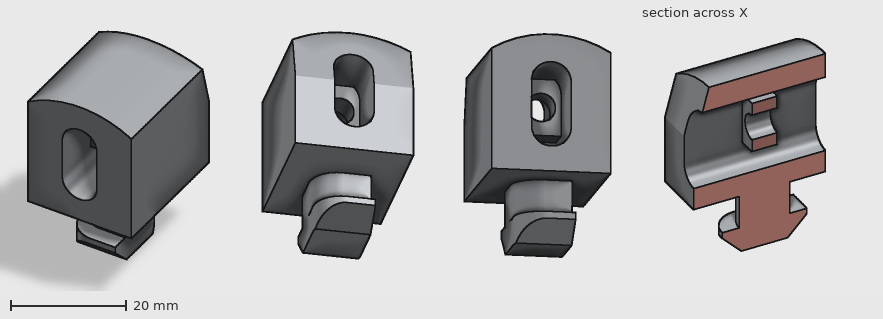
import cadquery as cq
import math

BLOCK_WIDTH = 21.0
BLOCK_DEPTH = 26.0
BLOCK_BOTTOM = 11.35
SHOULDER_Z = 32.85
CROWN_Z = 35.75
SLOPE_START_Z = 24.6
SLOPE_ANGLE = 15

SLOT_WIDTH = 7.0
SLOT_LENGTH = 15
SLOT_CENTRE_Z = 23.3

FOOT_WIDTH = 10
FOOT_CENTRE_Y = 12.0
HEAD_LENGTH = 16.7
HEAD_HEIGHT = 5
HEAD_BEVEL = 3.8
CORNER_RADIUS = FOOT_WIDTH / 2

NUT_SIDE = FOOT_WIDTH
NUT_THICKNESS = 5
NUT_HOLE_DIAMETER = 5
NUT_CENTRE = (0, FOOT_CENTRE_Y, 24.85)


def crowned_block():
    """Block with an arched top and a sloped upper back face."""
    half_width = BLOCK_WIDTH / 2
    block = (
        cq.Workplane("XZ")
        .moveTo(-half_width, BLOCK_BOTTOM)
        .lineTo(half_width, BLOCK_BOTTOM)
        .lineTo(half_width, SHOULDER_Z)
        .threePointArc((0, CROWN_Z), (-half_width, SHOULDER_Z))
        .close()
        .extrude(-BLOCK_DEPTH)
    )
    slope_run = (CROWN_Z - SLOPE_START_Z) * math.tan(math.radians(SLOPE_ANGLE))
    back_wedge = (
        cq.Workplane("YZ")
        .moveTo(BLOCK_DEPTH, SLOPE_START_Z)
        .lineTo(BLOCK_DEPTH, CROWN_Z)
        .lineTo(BLOCK_DEPTH - slope_run, CROWN_Z)
        .close()
        .extrude(half_width, both=True)
    )
    return block.cut(back_wedge)


def screw_slot():
    """Upright round-ended slot running the full depth of the block."""
    return (
        cq.Workplane("XZ")
        .center(0, SLOT_CENTRE_Z)
        .slot2D(SLOT_LENGTH, SLOT_WIDTH, angle=90)
        .extrude(-BLOCK_DEPTH)
    )


def quarter_turn_prism(length, bottom, top):
    """Upright prism with two diagonally opposite vertical edges rounded."""
    half_width = FOOT_WIDTH / 2
    half_length = length / 2
    arc_inset = CORNER_RADIUS * (1 - math.sqrt(0.5))
    outline = (
        cq.Workplane("XY", origin=(0, FOOT_CENTRE_Y, bottom))
        .moveTo(half_width, -half_length)
        .lineTo(half_width, half_length - CORNER_RADIUS)
        .threePointArc(
            (half_width - arc_inset, half_length - arc_inset),
            (half_width - CORNER_RADIUS, half_length),
        )
        .lineTo(-half_width, half_length)
        .lineTo(-half_width, CORNER_RADIUS - half_length)
        .threePointArc(
            (arc_inset - half_width, arc_inset - half_length),
            (CORNER_RADIUS - half_width, -half_length),
        )
        .close()
    )
    return outline.extrude(top - bottom)


def bevel_envelope():
    """Side profile of the head, narrowing towards its underside at 45 degrees."""
    half_length = HEAD_LENGTH / 2
    half_flat = half_length - HEAD_BEVEL
    return (
        cq.Workplane("YZ", origin=(0, FOOT_CENTRE_Y, 0))
        .moveTo(-half_flat, 0)
        .lineTo(half_flat, 0)
        .lineTo(half_length, HEAD_BEVEL)
        .lineTo(half_length, HEAD_HEIGHT)
        .lineTo(-half_length, HEAD_HEIGHT)
        .lineTo(-half_length, HEAD_BEVEL)
        .close()
        .extrude(FOOT_WIDTH / 2, both=True)
    )


def foot():
    """Hammer head and the stem that joins it to the block."""
    head = quarter_turn_prism(HEAD_LENGTH, 0, HEAD_HEIGHT).intersect(bevel_envelope())
    stem = quarter_turn_prism(FOOT_WIDTH, HEAD_HEIGHT, BLOCK_BOTTOM)
    return head.union(stem)


def nut_blank():
    """Square plate that fills the nut pocket."""
    return cq.Workplane("XY").box(NUT_SIDE, NUT_THICKNESS, NUT_SIDE).translate(NUT_CENTRE)


def make_housing():
    """Block and foot in one piece, with the slot and the nut pocket cut out."""
    return crowned_block().union(foot()).cut(screw_slot()).cut(nut_blank())


def make_nut():
    """Square nut with a round hole through it along Y."""
    return nut_blank().faces("<Y").workplane(origin=NUT_CENTRE).hole(NUT_HOLE_DIAMETER)


housing = make_housing()
nut = make_nut()

result = cq.Compound.makeCompound([housing.val(), nut.val()])